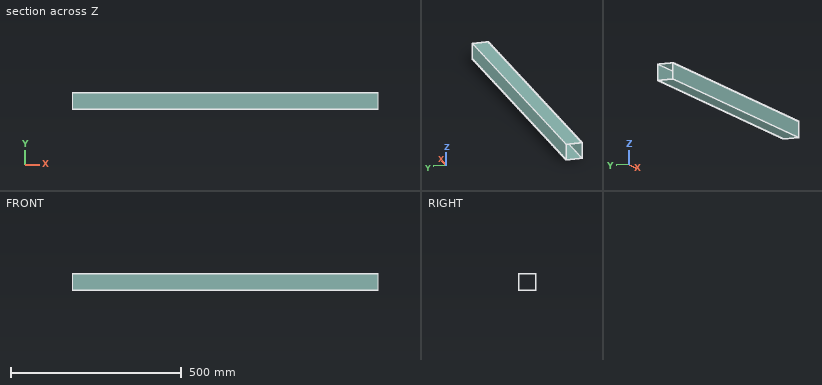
import cadquery as cq

length = 895.0
side = 50.0
wall = 1.6
bore = side - 2 * wall

outer = cq.Workplane("YZ").rect(side, side).extrude(length)
inner = cq.Workplane("YZ").rect(bore, bore).extrude(length)

result = outer.cut(inner)